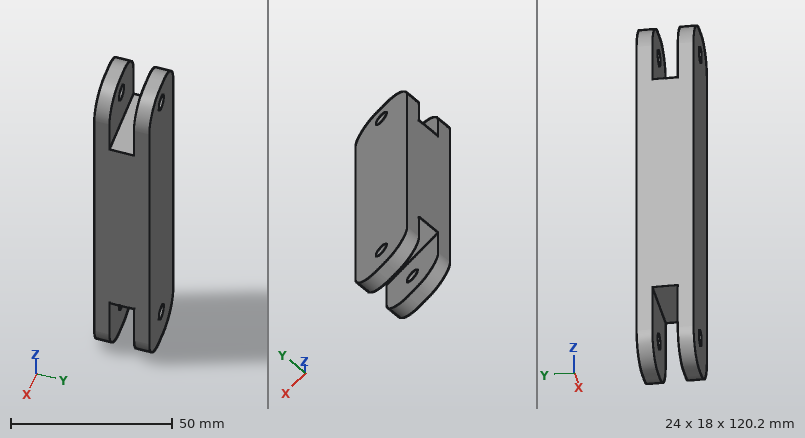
import cadquery as cq

width = 24.0
thickness = 18.0
length = 120.2
corner_radius = 10.0

hole_diameter = 5.0
hole_spacing = 100.0
top_hole_inset = 8.0

slot_width = 8.0
top_slot_depth = 21.8
bottom_slot_depth = 25.0

top_z = length / 2
bottom_z = -length / 2
top_hole_z = top_z - top_hole_inset
bottom_hole_z = top_hole_z - hole_spacing


def make_bar():
    """Bar centred on the origin with the four end corners (edges along Y) rounded."""
    return cq.Workplane("XY").box(width, thickness, length).edges("|Y").fillet(corner_radius)


def make_slot(low_z, high_z):
    """Block that opens a fork slot between two heights."""
    height = high_z - low_z
    return cq.Workplane("XY").box(width, slot_width, height).translate((0, 0, low_z + height / 2))


def make_hole(z):
    """Pivot pin hole through the full thickness."""
    return (
        cq.Workplane("XZ")
        .center(0, z)
        .circle(hole_diameter / 2)
        .extrude(thickness / 2, both=True)
    )


result = make_bar()
result = result.cut(make_slot(top_z - top_slot_depth, top_z))
result = result.cut(make_slot(bottom_z, bottom_z + bottom_slot_depth))
for hole_z in (top_hole_z, bottom_hole_z):
    result = result.cut(make_hole(hole_z))